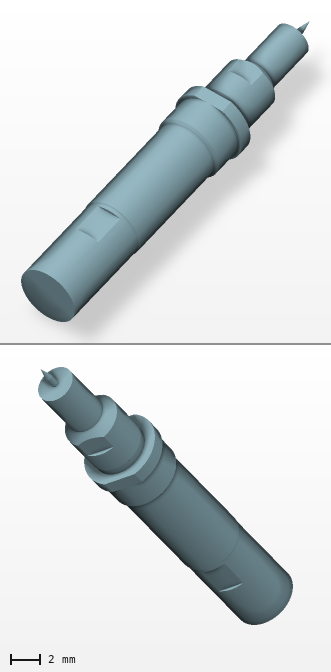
import cadquery as cq


rear_shaft_end = 7.22
collar_start = 15.95
flange_start = 18.2
flange_end = 19.22
neck_end = 19.78
nut_front = 23.7
tube_end = 27.75
needle_cone_start = 28.63
needle_tip = 29.7

rear_shaft_radius = 2.23
body_radius = 2.3
collar_radius = 2.5
flange_diameter = 5.5
flange_radius = flange_diameter / 2
neck_radius = 1.95
nut_radius = 2.02
tube_radius = 1.35
needle_radius = 0.25

collar_chamfer_length = 0.25
edge_chamfer = body_radius - rear_shaft_radius

rear_flat_start = 4.4
rear_flat_end = 6.92
rear_flat_height = 2.02
nut_flat_start = 21.7
nut_flat_height = 1.75
flange_flat_height = collar_radius


def turned_body():
    """Revolve the half profile, given as (radius, station) points, about Y."""
    nut_shoulder = nut_front - (nut_radius - tube_radius)
    profile = [
        (0, 0),
        (rear_shaft_radius, 0),
        (rear_shaft_radius, rear_shaft_end),
        (body_radius, rear_shaft_end + edge_chamfer),
        (body_radius, collar_start - collar_chamfer_length),
        (collar_radius, collar_start),
        (collar_radius, flange_start),
        (flange_radius, flange_start),
        (flange_radius, flange_end),
        (neck_radius, flange_end),
        (neck_radius, neck_end),
        (nut_radius, neck_end + edge_chamfer),
        (nut_radius, nut_shoulder),
        (tube_radius, nut_front),
        (tube_radius, tube_end),
        (needle_radius, tube_end),
        (needle_radius, needle_cone_start),
        (0, needle_tip),
    ]
    return cq.Workplane("XY").polyline(profile).close().revolve(360, (0, 0, 0), (0, 1, 0))


def cut_flats(body, start, end, height):
    """Mill two opposite flats at z = +height and z = -height between two stations."""
    depth = flange_radius
    width = 2 * flange_radius
    for side in (1, -1):
        cutter = cq.Workplane("XY").box(width, end - start, depth).translate(
            (0, (start + end) / 2, side * (height + depth / 2))
        )
        body = body.cut(cutter)
    return body


result = turned_body()
result = cut_flats(result, rear_flat_start, rear_flat_end, rear_flat_height)
result = cut_flats(result, flange_start, flange_end, flange_flat_height)
result = cut_flats(result, nut_flat_start, nut_front, nut_flat_height)